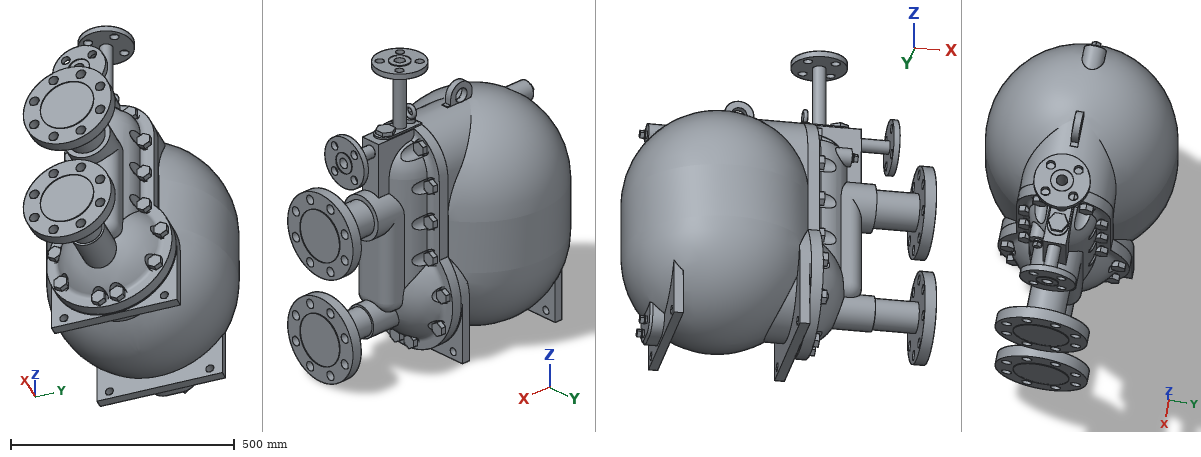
import cadquery as cq
import math


VESSEL_RADIUS = 215.55
LOWER_SEAM_Z = 218.0
UPPER_SEAM_Z = 346.0

JOINT_X = 186.0
VESSEL_RIM_BACK_X = 160.0
FLANGE_THICKNESS = 27.0
COVER_FACE_X = JOINT_X + FLANGE_THICKNESS
KEYHOLE_TOP_Z = 453.0
KEYHOLE_TOP_RADIUS = 107.0
KEYHOLE_BASE_Z = 150.5
KEYHOLE_BASE_RADIUS = 150.0
NECK_BASE_RADIUS = 118.0

FOOT_HALF_WIDTH = 150.0
FOOT_TOP_Z = 150.0
FRONT_FOOT_THICKNESS = 22.5
REAR_FOOT_X = -127.0
REAR_FOOT_THICKNESS = 21.0
FOOT_HOLE_DIAMETER = 19.0
FOOT_HOLE_Y = 120.0
FOOT_HOLE_Z = 19.5

LUG_X = 49.0
LUG_Z = 576.0
LUG_RADIUS = 33.5
LUG_HOLE_DIAMETER = 35.0
LUG_THICKNESS = 17.0
LUG_TOE_X = 92.0
LUG_TOE_Z = 562.0
LUG_ROOT_Z = 538.0

BOSS_DIAMETER = 50.0
BOSS_Z = 510.0
REAR_FACE_X = -160.0
PAD_LEFT_Y = 75.5
PAD_RIGHT_Y = -40.0
PAD_BOTTOM_Z = 9.5
PAD_TOP_Z = 102.0
PAD_CORNER_RADIUS = 39.0
PAD_CHAMFER = 6.0
DRAIN_PLUGS = [(0, 49.5), (35.0, 32.0)]
PLUG_NECK_DIAMETER = 17.5
PLUG_NECK_LENGTH = 4.0
PLUG_COLLAR_DIAMETER = 20.0
PLUG_COLLAR_LENGTH = 2.0
PLUG_SQUARE_DIAGONAL = 19.5
PLUG_SQUARE_LENGTH = 9.5

COLUMN_X = 219.0
COLUMN_RADIUS = 76.7
COLUMN_TOP_Z = 459.5
DOME_X = 151.0
DOME_RADIUS = 137.5
COLUMN_ROOT_LENGTH = 22.0
COLUMN_ROOT_WIDTH = 17.0
DOME_ROOT_LENGTH = 7.0
DOME_ROOT_WIDTH = 12.0

BOLT_HEAD_CORNERS = 35.0
BOLT_HEAD_HEIGHT = 13.0
BOLT_CLEARANCE_RADIUS = 20.0
BOLT_COLUMN_Y = 86.0
BOLT_COLUMN_ZS = [255.0, 346.0, 435.5]
BOLT_TOP_ANGLE = 52
BOLT_BASE_RADIUS = 129.0
BOLT_BASE_ANGLES = [11, -29, -80]

HUB_END_X = 353.0
MAIN_FLANGE_X = 454.0
MAIN_FLANGE_DIAMETER = 210.0
MAIN_FLANGE_THICKNESS = 26.0
MAIN_FACE_DIAMETER = 127.0
MAIN_FACE_HEIGHT = 2.0
MAIN_HOLE_COUNT = 8
MAIN_HOLE_DIAMETER = 22.5
MAIN_HOLE_CIRCLE = 170.0
INLET_Z = 374.0
INLET_HUB_RADIUS = 55.0
INLET_PIPE_RADIUS = 43.25
OUTLET_Z = 112.0
OUTLET_HUB_RADIUS = 41.0
OUTLET_PIPE_RADIUS = 35.5

RIB_BOTTOM_Z = 128.0
RIB_ROUNDING = 30.0

BLOCK_END_X = 323.5
BLOCK_HALF_WIDTH = 26.0
BLOCK_BOTTOM_Z = 422.0
BLOCK_TOP_Z = 557.0
TOP_PAD_Z = 561.0
TOP_PAD_HALF_WIDTH = 23.0
TOP_PAD_END_X = 305.0

SMALL_PIPE_DIAMETER = 30.5
SMALL_BORE_DIAMETER = 25.0
SMALL_FLANGE_DIAMETER = 126.5
SMALL_FLANGE_THICKNESS = 14.0
SMALL_FACE_DIAMETER = 51.0
SMALL_FACE_HEIGHT = 2.0
SMALL_HOLE_COUNT = 4
SMALL_HOLE_DIAMETER = 20.0
SMALL_HOLE_CIRCLE = 89.5
MOTIVE_X = 233.0
MOTIVE_FLANGE_Z = 711.0
EXHAUST_Z = 530.0
EXHAUST_FLANGE_X = 391.0

SIDE_BOSS_Y = -42.0
SIDE_BOSS_Z = 475.5
SIDE_BOSS_DIAMETER = 41.5
SIDE_BOSS_END_X = 296.0

EYEBOLT_X = 200.0
EYE_COLLAR_DIAMETER = 22.5
EYE_COLLAR_HEIGHT = 9.5
EYE_OUTER_RADIUS = 18.0
EYE_WIRE_RADIUS = 4.7
EYE_TOP_Z = 605.0
TOP_PLUG_X = 277.0
TOP_PLUG_CORNERS = 46.0
TOP_PLUG_HEIGHT = 9.5


def plane_facing_x(x):
    """Sketch plane normal to +X whose local axes are Y and Z."""
    return cq.Workplane("YZ", origin=(x, 0, 0))


def rod_x(x_start, x_end, y, z, radius):
    """Round bar parallel to X."""
    return plane_facing_x(x_start).center(y, z).circle(radius).extrude(x_end - x_start)


def block(x_start, x_end, half_width, z_start, z_end):
    """Box that is symmetric about Y = 0."""
    size = (x_end - x_start, 2 * half_width, z_end - z_start)
    return cq.Workplane("XY").box(*size, centered=(False, True, False)).translate((x_start, 0, z_start))


def keyhole(x_start, x_end, base_radius):
    """Keyhole plate: a round base disc with a straight-sided, round-topped slot shape above it."""
    base = rod_x(x_start, x_end, 0, KEYHOLE_BASE_Z, base_radius)
    sides = block(x_start, x_end, KEYHOLE_TOP_RADIUS, KEYHOLE_BASE_Z, KEYHOLE_TOP_Z)
    top = rod_x(x_start, x_end, 0, KEYHOLE_TOP_Z, KEYHOLE_TOP_RADIUS)
    return base.union(sides).union(top)


def flanged_pipe(length, pipe_diameter, flange_diameter, thickness, face_diameter, face_height,
                 hole_count, hole_diameter, hole_circle):
    """Pipe along +Z from the origin; its flange starts at `length` and ends in a raised face."""
    flange_plane = cq.Workplane("XY", origin=(0, 0, length))
    half_pitch = 180 / hole_count
    holes = (
        flange_plane.polarArray(hole_circle / 2, half_pitch, 360, hole_count)
        .circle(hole_diameter / 2).extrude(thickness)
    )
    flange = flange_plane.circle(flange_diameter / 2).extrude(thickness).cut(holes)
    face = flange_plane.circle(face_diameter / 2).extrude(thickness + face_height)
    pipe = cq.Workplane("XY").circle(pipe_diameter / 2).extrude(length)
    return pipe.union(flange).union(face)


def turned_to_x(body):
    """Turn a body built along +Z so that it points along +X."""
    return body.rotate((0, 0, 0), (0, 1, 0), 90)


def main_pipe(z, pipe_radius):
    pipe = flanged_pipe(
        MAIN_FLANGE_X - HUB_END_X, 2 * pipe_radius, MAIN_FLANGE_DIAMETER, MAIN_FLANGE_THICKNESS,
        MAIN_FACE_DIAMETER, MAIN_FACE_HEIGHT, MAIN_HOLE_COUNT, MAIN_HOLE_DIAMETER, MAIN_HOLE_CIRCLE,
    )
    return turned_to_x(pipe).translate((HUB_END_X, 0, z))


def small_pipe(length):
    pipe = flanged_pipe(
        length, SMALL_PIPE_DIAMETER, SMALL_FLANGE_DIAMETER, SMALL_FLANGE_THICKNESS,
        SMALL_FACE_DIAMETER, SMALL_FACE_HEIGHT, SMALL_HOLE_COUNT, SMALL_HOLE_DIAMETER, SMALL_HOLE_CIRCLE,
    )
    bore_length = length + SMALL_FLANGE_THICKNESS + SMALL_FACE_HEIGHT
    bore = cq.Workplane("XY").circle(SMALL_BORE_DIAMETER / 2).extrude(bore_length)
    return pipe.cut(bore)


def screw_plug(x, y, z, direction):
    """Square-headed plug on a face at x; direction is +1 or -1 along X."""
    collar_x = x + direction * PLUG_NECK_LENGTH
    head_x = collar_x + direction * PLUG_COLLAR_LENGTH
    head_end_x = head_x + direction * PLUG_SQUARE_LENGTH
    neck = rod_x(x, collar_x, y, z, PLUG_NECK_DIAMETER / 2)
    collar = rod_x(collar_x, head_x, y, z, PLUG_COLLAR_DIAMETER / 2)
    head = plane_facing_x(head_x).center(y, z).polygon(4, PLUG_SQUARE_DIAGONAL).extrude(head_end_x - head_x)
    return neck.union(collar).union(head)



def vessel_shell():
    upper_pole = UPPER_SEAM_Z + VESSEL_RADIUS
    lower_pole = LOWER_SEAM_Z - VESSEL_RADIUS
    bulge = VESSEL_RADIUS * math.sqrt(0.5)
    return (
        cq.Workplane("XZ")
        .moveTo(0, lower_pole)
        .threePointArc((bulge, LOWER_SEAM_Z - bulge), (VESSEL_RADIUS, LOWER_SEAM_Z))
        .lineTo(VESSEL_RADIUS, UPPER_SEAM_Z)
        .threePointArc((bulge, UPPER_SEAM_Z + bulge), (0, upper_pole))
        .close()
        .revolve(360, (0, 0), (0, 1))
    )


def foot(x, thickness):
    plate = block(x, x + thickness, FOOT_HALF_WIDTH, 0, FOOT_TOP_Z)
    for side in (-1, 1):
        plate = plate.cut(rod_x(x, x + thickness, side * FOOT_HOLE_Y, FOOT_HOLE_Z, FOOT_HOLE_DIAMETER / 2))
    return plate


def lifting_lug():
    plane = cq.Workplane("XZ", origin=(0, LUG_THICKNESS / 2, 0))
    eye = plane.center(LUG_X, LUG_Z).circle(LUG_RADIUS).extrude(LUG_THICKNESS)
    root = (
        plane.moveTo(LUG_X, LUG_ROOT_Z)
        .lineTo(LUG_TOE_X, LUG_ROOT_Z)
        .lineTo(LUG_TOE_X, LUG_TOE_Z)
        .lineTo(LUG_X + LUG_RADIUS, LUG_TOE_Z)
        .lineTo(LUG_X + LUG_RADIUS, LUG_Z)
        .lineTo(LUG_X, LUG_Z)
        .close().extrude(LUG_THICKNESS)
    )
    hole = plane.center(LUG_X, LUG_Z).circle(LUG_HOLE_DIAMETER / 2).extrude(LUG_THICKNESS)
    return eye.union(root), hole


def drain_pad():
    return (
        plane_facing_x(REAR_FACE_X)
        .moveTo(PAD_LEFT_Y, PAD_TOP_Z)
        .lineTo(PAD_LEFT_Y, PAD_BOTTOM_Z)
        .lineTo(PAD_RIGHT_Y, PAD_BOTTOM_Z)
        .lineTo(PAD_RIGHT_Y, PAD_TOP_Z)
        .close()
        .extrude(REAR_FOOT_X - REAR_FACE_X)
        .edges("|X and <Z").fillet(PAD_CORNER_RADIUS)
        .faces("<X").edges("not(>Z)").chamfer(PAD_CHAMFER)
    )


def make_vessel():
    lug, lug_hole = lifting_lug()
    beyond_joint = block(JOINT_X, VESSEL_RADIUS, VESSEL_RADIUS, 0, UPPER_SEAM_Z + VESSEL_RADIUS)
    body = vessel_shell().cut(beyond_joint)
    body = body.union(keyhole(0, JOINT_X, NECK_BASE_RADIUS))
    body = body.union(keyhole(VESSEL_RIM_BACK_X, JOINT_X, KEYHOLE_BASE_RADIUS))
    body = body.union(lug).cut(lug_hole)
    body = body.union(foot(VESSEL_RIM_BACK_X, FRONT_FOOT_THICKNESS))
    body = body.union(foot(REAR_FOOT_X, REAR_FOOT_THICKNESS))
    body = body.union(rod_x(REAR_FACE_X, 0, 0, BOSS_Z, BOSS_DIAMETER / 2))
    body = body.union(drain_pad())
    for y, z in [(0, BOSS_Z)] + DRAIN_PLUGS:
        body = body.union(screw_plug(REAR_FACE_X, y, z, -1))
    return body



def bolt_positions():
    """(y, z) of every cover bolt, mirrored about Y = 0."""
    top_angle = math.radians(BOLT_TOP_ANGLE)
    one_side = [(BOLT_COLUMN_Y, z) for z in BOLT_COLUMN_ZS]
    one_side.append((BOLT_COLUMN_Y * math.cos(top_angle), KEYHOLE_TOP_Z + BOLT_COLUMN_Y * math.sin(top_angle)))
    for degrees in BOLT_BASE_ANGLES:
        angle = math.radians(degrees)
        y = BOLT_BASE_RADIUS * math.cos(angle)
        z = KEYHOLE_BASE_Z + BOLT_BASE_RADIUS * math.sin(angle)
        one_side.append((y, z))
    return [(side * y, z) for side in (-1, 1) for y, z in one_side]


def root_profile(plane, length, end_half_width, width):
    """Half section of a flared root: X outward from the cover face, hollow arc down to the wall."""
    outer = end_half_width + width
    arc_radius = (length**2 + width**2) / (2 * length)
    return (
        plane.lineTo(0, outer)
        .radiusArc((length, end_half_width), -arc_radius)
        .lineTo(length, 0)
        .close()
    )


def column_root():
    """Flared root along both straight sides and round the top of the column."""
    end_offset = COVER_FACE_X + COLUMN_ROOT_LENGTH - COLUMN_X
    end_half_width = math.sqrt(COLUMN_RADIUS**2 - end_offset**2)
    base_plane = cq.Workplane("XY", origin=(COVER_FACE_X, 0, KEYHOLE_BASE_Z))
    side = (
        root_profile(base_plane, COLUMN_ROOT_LENGTH, end_half_width, COLUMN_ROOT_WIDTH)
        .extrude(COLUMN_TOP_Z - KEYHOLE_BASE_Z)
    )
    top_plane = cq.Workplane("XY", origin=(COVER_FACE_X, 0, COLUMN_TOP_Z))
    top = (
        root_profile(top_plane, COLUMN_ROOT_LENGTH, end_half_width, COLUMN_ROOT_WIDTH)
        .revolve(360, (0, 0), (1, 0))
    )
    return side.union(side.mirror("XZ")).union(top)


def dome_root():
    """Flared root round the dome."""
    end_offset = COVER_FACE_X + DOME_ROOT_LENGTH - DOME_X
    end_radius = math.sqrt(DOME_RADIUS**2 - end_offset**2)
    plane = cq.Workplane("XY", origin=(COVER_FACE_X, 0, KEYHOLE_BASE_Z))
    profile = root_profile(plane, DOME_ROOT_LENGTH, end_radius, DOME_ROOT_WIDTH)
    return profile.revolve(360, (0, 0), (1, 0))


def cover_shell():
    """Upright round column over a spherical dome on the cover face, cleared for the bolts."""
    column = (
        cq.Workplane("XY", origin=(COLUMN_X, 0, KEYHOLE_BASE_Z))
        .circle(COLUMN_RADIUS).extrude(COLUMN_TOP_Z - KEYHOLE_BASE_Z)
    )
    column_end = cq.Workplane("XY").sphere(COLUMN_RADIUS).translate((COLUMN_X, 0, COLUMN_TOP_Z))
    dome = cq.Workplane("XY").sphere(DOME_RADIUS).translate((DOME_X, 0, KEYHOLE_BASE_Z))
    front_space = block(COVER_FACE_X, HUB_END_X, VESSEL_RADIUS, 0, BLOCK_TOP_Z)
    shell = column.union(column_end).union(dome).intersect(front_space)
    shell = shell.union(column_root()).union(dome_root())
    clearances = (
        plane_facing_x(COVER_FACE_X).pushPoints(bolt_positions())
        .circle(BOLT_CLEARANCE_RADIUS).extrude(HUB_END_X - COVER_FACE_X)
    )
    return shell.cut(clearances)


def bolt_heads():
    """Hexagon heads with one corner pointing up."""
    head = (
        plane_facing_x(COVER_FACE_X).polygon(6, BOLT_HEAD_CORNERS).extrude(BOLT_HEAD_HEIGHT)
        .rotate((0, 0, 0), (1, 0, 0), 90)
    )
    return [head.translate((0, y, z)) for y, z in bolt_positions()]


def inlet_rib():
    rib = block(COLUMN_X, BLOCK_END_X, INLET_HUB_RADIUS, RIB_BOTTOM_Z, INLET_Z)
    return rib.edges("(>X or <Z) and (not <X) and (not >Z)").fillet(RIB_ROUNDING)


def top_pad():
    """Thin pad across the flange and valve block with a round outer end."""
    straight_end = TOP_PAD_END_X - TOP_PAD_HALF_WIDTH
    pad = block(JOINT_X, straight_end, TOP_PAD_HALF_WIDTH, EXHAUST_Z, TOP_PAD_Z)
    end = (
        cq.Workplane("XY", origin=(straight_end, 0, EXHAUST_Z))
        .circle(TOP_PAD_HALF_WIDTH).extrude(TOP_PAD_Z - EXHAUST_Z)
    )
    return pad.union(end)


def make_cover():
    body = keyhole(JOINT_X, COVER_FACE_X, KEYHOLE_BASE_RADIUS).union(cover_shell())
    for head in bolt_heads():
        body = body.union(head)
    body = body.union(inlet_rib())
    body = body.union(rod_x(COLUMN_X, HUB_END_X, 0, INLET_Z, INLET_HUB_RADIUS))
    body = body.union(rod_x(COLUMN_X, HUB_END_X, 0, OUTLET_Z, OUTLET_HUB_RADIUS))
    body = body.union(main_pipe(INLET_Z, INLET_PIPE_RADIUS))
    body = body.union(main_pipe(OUTLET_Z, OUTLET_PIPE_RADIUS))
    body = body.union(block(COVER_FACE_X, BLOCK_END_X, BLOCK_HALF_WIDTH, BLOCK_BOTTOM_Z, BLOCK_TOP_Z))
    body = body.union(top_pad())
    body = body.union(rod_x(COLUMN_X, SIDE_BOSS_END_X, SIDE_BOSS_Y, SIDE_BOSS_Z, SIDE_BOSS_DIAMETER / 2))
    body = body.union(screw_plug(SIDE_BOSS_END_X, SIDE_BOSS_Y, SIDE_BOSS_Z, 1))
    motive_pipe = small_pipe(MOTIVE_FLANGE_Z - TOP_PAD_Z)
    body = body.union(motive_pipe.translate((MOTIVE_X, 0, TOP_PAD_Z)))
    exhaust_pipe = turned_to_x(small_pipe(EXHAUST_FLANGE_X - BLOCK_END_X))
    return body.union(exhaust_pipe.translate((BLOCK_END_X, 0, EXHAUST_Z)))



def make_eyebolt():
    collar = (
        cq.Workplane("XY", origin=(EYEBOLT_X, 0, TOP_PAD_Z))
        .circle(EYE_COLLAR_DIAMETER / 2).extrude(EYE_COLLAR_HEIGHT)
    )
    ring = cq.Solid.makeTorus(
        EYE_OUTER_RADIUS - EYE_WIRE_RADIUS, EYE_WIRE_RADIUS,
        cq.Vector(EYEBOLT_X, 0, EYE_TOP_Z - EYE_OUTER_RADIUS), cq.Vector(1, 0, 0),
    )
    below_pad = block(JOINT_X, COVER_FACE_X, EYE_OUTER_RADIUS, KEYHOLE_TOP_Z, TOP_PAD_Z)
    return collar.union(cq.Workplane(ring)).cut(below_pad)


def make_top_plug():
    """Hexagon plug with corners on +Y and -Y."""
    hexagon = cq.Workplane("XY").polygon(6, TOP_PLUG_CORNERS).extrude(TOP_PLUG_HEIGHT)
    return hexagon.rotate((0, 0, 0), (0, 0, 1), 90).translate((TOP_PLUG_X, 0, TOP_PAD_Z))


vessel = make_vessel()
cover = make_cover()
eyebolt = make_eyebolt()
top_plug = make_top_plug()

result = cq.Compound.makeCompound([vessel.val(), cover.val(), eyebolt.val(), top_plug.val()])